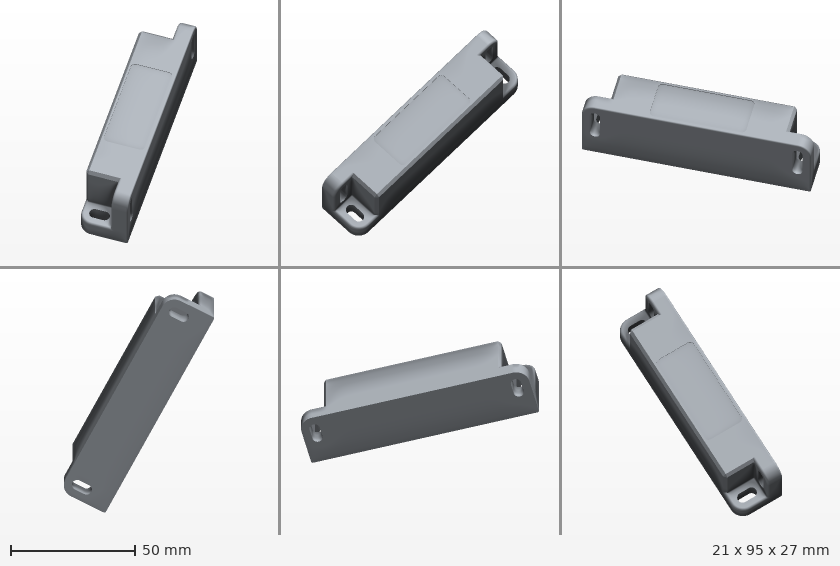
import cadquery as cq

WIDTH = 21.0
LENGTH = 95.0
HEIGHT = 27.0

PLATE_THICKNESS = 7.0
PLATE_CORNER_RADIUS = 5.5
RIM_FILLET = 1.0
BACK_EDGE_FILLET = 0.7

EAR_LENGTH = 10.45
BODY_CHAMFER = 1.2
INNER_FILLET = 0.5

SLOT_WIDTH = 4.3
SLOT_CENTER_Y = LENGTH / 2 - PLATE_CORNER_RADIUS
BASE_SLOT_LENGTH = 8.55
BASE_SLOT_X = 7.5
BACK_SLOT_LENGTH = 14.3
BACK_SLOT_Z = 16.6

LABEL_WIDTH = 17.4
LABEL_LENGTH = 40.0
LABEL_RADIUS = 1.9
LABEL_X = 10.7
LABEL_DEPTH = 0.3

BODY_LENGTH = LENGTH - 2 * EAR_LENGTH
BACK_PLATE_X = WIDTH - PLATE_THICKNESS
CORNER_TOLERANCE = 0.001


def box_from(x_start, x_size, y_size, z_size):
    """Box standing on Z = 0, centred on Y, starting at x_start."""
    box = cq.Workplane("XY").box(x_size, y_size, z_size, centered=(False, True, False))
    return box.translate((x_start, 0, 0))


def make_base_plate():
    plate = box_from(0, WIDTH, LENGTH, PLATE_THICKNESS)
    plate = plate.edges("|Z and <X").fillet(PLATE_CORNER_RADIUS)
    plate = plate.faces(">X").edges("|Z").fillet(BACK_EDGE_FILLET)
    return plate.faces(">Z").edges("<X").fillet(RIM_FILLET)


def make_back_plate():
    plate = box_from(BACK_PLATE_X, PLATE_THICKNESS, LENGTH, HEIGHT)
    plate = plate.edges("|X and >Z").fillet(PLATE_CORNER_RADIUS)
    plate = plate.faces(">X").edges(">Z").fillet(BACK_EDGE_FILLET)
    return plate.faces("<X").edges(">Z").fillet(RIM_FILLET)


def make_body():
    """Central block, bevelled on its free edges and backed by the back plate."""
    body = box_from(0, WIDTH - BACK_EDGE_FILLET, BODY_LENGTH, HEIGHT)
    front_edges = body.faces("<X").edges("not <Z")
    top_end_edges = body.faces(">Z").edges("|X")
    return front_edges.add(top_end_edges).chamfer(BODY_CHAMFER)


def round_inner_corner(part, end):
    """Fillet the three edges that meet in the inner corner of one ear."""
    corner = cq.Vector(BACK_PLATE_X, end * BODY_LENGTH / 2, PLATE_THICKNESS)
    inner_edges = [
        edge
        for edge in part.edges("|X or |Y or |Z").vals()
        if min((vertex.Center() - corner).Length for vertex in edge.Vertices()) < CORNER_TOLERANCE
    ]
    return part.newObject(inner_edges).fillet(INNER_FILLET)


def make_slots(end):
    """Cutters for the base slot and the back slot of one ear."""
    base_slot = (
        cq.Workplane("XY")
        .center(BASE_SLOT_X, end * SLOT_CENTER_Y)
        .slot2D(BASE_SLOT_LENGTH, SLOT_WIDTH)
        .extrude(HEIGHT)
    )
    back_slot = (
        cq.Workplane("YZ")
        .center(end * SLOT_CENTER_Y, BACK_SLOT_Z)
        .slot2D(BACK_SLOT_LENGTH, SLOT_WIDTH, 90)
        .extrude(WIDTH)
    )
    return base_slot.union(back_slot)


def make_label_recess():
    recess = cq.Workplane("XY").box(LABEL_WIDTH, LABEL_LENGTH, LABEL_DEPTH, centered=(True, True, False))
    recess = recess.edges("|Z").fillet(LABEL_RADIUS)
    return recess.translate((LABEL_X, 0, HEIGHT - LABEL_DEPTH))


result = make_base_plate().union(make_back_plate()).union(make_body())
for ear_end in (-1, 1):
    result = round_inner_corner(result, ear_end)
    result = result.cut(make_slots(ear_end))
result = result.cut(make_label_recess())